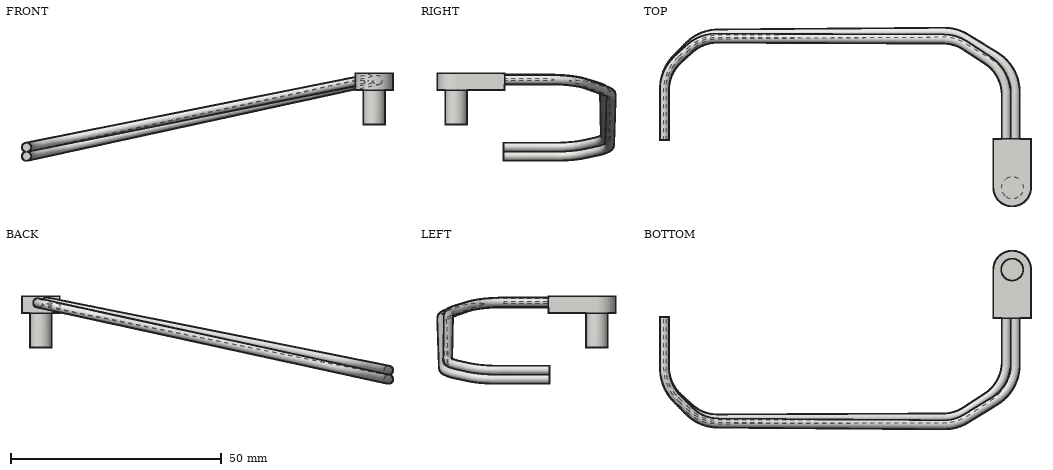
import cadquery as cq
import math

BLOCK_WIDTH = 9.0
BLOCK_STRAIGHT = 11.5
BLOCK_THICKNESS = 4.0
PEG_DIAMETER = 5.2
PEG_LENGTH = 8.2

ROD_DIAMETER = 2.2
ROD_SPACING = 2.14
PAIR_X = -0.32
OUTER_BLOCK_Z = -1.6
INNER_BLOCK_Z = -1.4
BEND_RADIUS = 10.0
FREE_END_LEFT = -83.5
FREE_END_BOTTOM = -20.81
FREE_END_Y = 11.2

SPAN_RIGHT_X = -13.4
SPAN_LEFT_X = -73.7
OUTER_CORNERS_Y = (28.1, 36.8, 36.35, 27.55)
INNER_CORNERS_Y = (27.3, 35.15, 35.4, 27.5)

rod_radius = ROD_DIAMETER / 2
free_x = FREE_END_LEFT + rod_radius
lower_z = FREE_END_BOTTOM + rod_radius
upper_z = lower_z + ROD_SPACING


def make_block():
    """Tab with a full-round front end."""
    half = BLOCK_WIDTH / 2
    return (
        cq.Workplane("XY")
        .moveTo(-half, BLOCK_STRAIGHT)
        .lineTo(-half, 0)
        .threePointArc((0, -half), (half, 0))
        .lineTo(half, BLOCK_STRAIGHT)
        .close()
        .extrude(-BLOCK_THICKNESS)
    )


def make_peg():
    """Round peg below the block, concentric with its rounded end."""
    return (
        cq.Workplane("XY")
        .workplane(offset=-BLOCK_THICKNESS)
        .circle(PEG_DIAMETER / 2)
        .extrude(-PEG_LENGTH)
    )


def bend(before, corner, after):
    """Start, middle and end of the arc that rounds a corner of the rod axis."""
    to_before = (before - corner).normalized()
    to_after = (after - corner).normalized()
    half_angle = to_before.getAngle(to_after) / 2
    bisector = (to_before + to_after).normalized()
    tangent_length = BEND_RADIUS / math.tan(half_angle)
    middle_distance = BEND_RADIUS / math.sin(half_angle) - BEND_RADIUS
    return (
        corner + to_before * tangent_length,
        corner + bisector * middle_distance,
        corner + to_after * tangent_length,
    )


def make_rod(block_x, block_z, free_z, corners_y):
    """Rod swept along a bent axis lying in a plane that slopes down from block to free end."""
    slope = (block_z - free_z) / (block_x - free_x)
    axis_x = (block_x, block_x, SPAN_RIGHT_X, SPAN_LEFT_X, free_x, free_x)
    axis_y = (BLOCK_STRAIGHT, *corners_y, FREE_END_Y)
    points = [cq.Vector(x, y, free_z + slope * (x - free_x)) for x, y in zip(axis_x, axis_y)]

    edges = []
    position = points[0]
    for before, corner, after in zip(points, points[1:], points[2:]):
        start, middle, end = bend(before, corner, after)
        edges.append(cq.Edge.makeLine(position, start))
        edges.append(cq.Edge.makeThreePointArc(start, middle, end))
        position = end
    edges.append(cq.Edge.makeLine(position, points[-1]))
    axis = cq.Wire.assembleEdges(edges)

    section = cq.Plane(origin=points[0].toTuple(), xDir=(1, 0, 0), normal=(0, 1, 0))
    return cq.Workplane(section).circle(rod_radius).sweep(cq.Workplane(axis))


outer_rod = make_rod(PAIR_X + ROD_SPACING / 2, OUTER_BLOCK_Z, lower_z, OUTER_CORNERS_Y)
inner_rod = make_rod(PAIR_X - ROD_SPACING / 2, INNER_BLOCK_Z, upper_z, INNER_CORNERS_Y)

result = make_block().union(make_peg()).union(outer_rod).union(inner_rod)